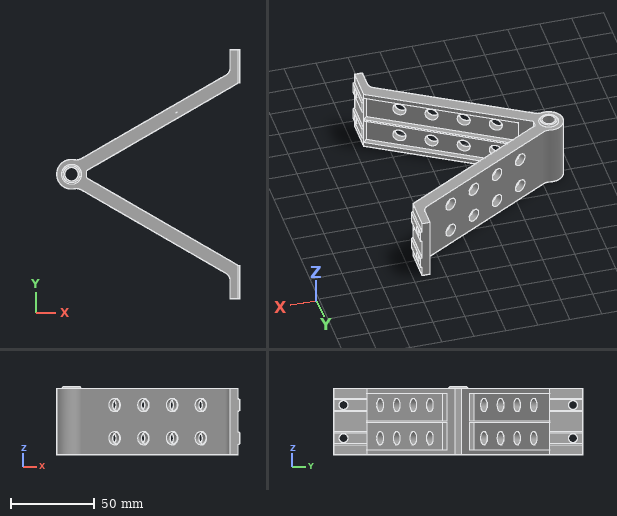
import cadquery as cq
import math

height = 40.0
hub_radius = 9.0
bore_diameter = 8.0
collar_base_diameter = 12.0
collar_top_diameter = 10.2
collar_height = 1.0

arm_angle = 30.0
arm_outer_offset = 5.3
arm_thickness = 8.0
hub_blend_radius = 6.0

flange_back = 100.4
flange_thickness = 5.0
flange_end = 75.1
bend_radius = 5.0
flange_hole_diameter = 5.3
flange_hole_y = 69.1

row_spacing = 20.0
rows = [height / 2 - row_spacing / 2, height / 2 + row_spacing / 2]
arm_hole_diameter = 8.0
arm_hole_count = 4
arm_hole_pitch = 20.0
first_hole_front = 33.0
first_hole_rear = 29.9

groove_depth = 3.3
rim_thickness = 3.0
rail_thickness = 1.0
groove_width = (height - rail_thickness) / 2 - rim_thickness
groove_bottoms = [rim_thickness, (height + rail_thickness) / 2]
groove_end_angle = 45.0
groove_start = 18.0

strip_height = 1.0
strip_width = 8.0
strip_taper = 0.8

slope = math.tan(math.radians(arm_angle))
cosine = math.cos(math.radians(arm_angle))
arm_inner_offset = arm_outer_offset - arm_thickness


def face_y(offset, x):
    """Y of an arm face at x, for the face's distance from the hub axis."""
    return offset / cosine + slope * x


def arm_plane(offset):
    """Plane on the +Y arm: x along the arm, y up, z into the V."""
    angle = math.radians(arm_angle)
    normal = (math.sin(angle), -math.cos(angle), 0)
    origin = (-offset * normal[0], -offset * normal[1], 0)
    return cq.Plane(origin=origin, xDir=(math.cos(angle), math.sin(angle), 0), normal=normal)


def make_arm():
    """Bent bar on the +Y side, from the hub to the end of its flange."""
    flange_front = flange_back - flange_thickness
    outline = [
        (0, 0),
        (hub_radius, 0),
        (hub_radius, face_y(arm_inner_offset, hub_radius)),
        (flange_back, face_y(arm_inner_offset, flange_back)),
        (flange_back, flange_end),
        (flange_front, flange_end),
        (flange_front, face_y(arm_outer_offset, flange_front)),
        (0, face_y(arm_outer_offset, 0)),
    ]
    bar = cq.Workplane("XY").polyline(outline).close().extrude(height)
    inside_bend = cq.selectors.NearestToPointSelector(
        (flange_front, face_y(arm_outer_offset, flange_front), height / 2)
    )
    return bar.edges(inside_bend).fillet(bend_radius)


def make_hub_blend():
    """Concave filler between the barrel and the outer face of the +Y arm."""
    reach = hub_radius + hub_blend_radius
    swing = math.acos((arm_outer_offset + hub_blend_radius) / reach)
    direction = math.radians(90 + arm_angle) - swing
    centre = (reach * math.cos(direction), reach * math.sin(direction))
    angle = math.radians(arm_angle)
    arm_touch = (
        centre[0] + hub_blend_radius * math.sin(angle),
        centre[1] - hub_blend_radius * math.cos(angle),
    )
    hub_touch = (hub_radius * math.cos(direction), hub_radius * math.sin(direction))
    filler = cq.Workplane("XY").polyline([(0, 0), arm_touch, centre, hub_touch]).close().extrude(height)
    return filler.cut(cq.Workplane("XY").center(*centre).circle(hub_blend_radius).extrude(height))


def make_strip(z):
    """Raised strip with sloping long sides."""
    inner_y = face_y(arm_inner_offset, flange_back)
    length = flange_end - inner_y
    half = strip_width / 2
    tip = half - strip_taper
    profile = [
        (flange_back, z - half),
        (flange_back + strip_height, z - tip),
        (flange_back + strip_height, z + tip),
        (flange_back, z + half),
    ]
    return cq.Workplane("XZ", origin=(0, inner_y, 0)).polyline(profile).close().extrude(-length)


def make_groove(bottom):
    """Cutter for one groove, ending in a slanted wall at the arm's inner corner."""
    slant = math.radians(groove_end_angle)
    wall_length = groove_depth / math.sin(slant + math.radians(arm_angle))
    start = arm_plane(arm_inner_offset).toWorldCoords((groove_start, 0, 0))
    floor_start = arm_plane(arm_inner_offset + groove_depth).toWorldCoords((groove_start, 0, 0))
    end_y = face_y(arm_inner_offset, flange_back)
    outline = [
        (start.x, start.y),
        (flange_back, end_y),
        (flange_back - wall_length * math.cos(slant), end_y + wall_length * math.sin(slant)),
        (floor_start.x, floor_start.y),
    ]
    base = cq.Workplane("XY", origin=(0, 0, bottom))
    return base.polyline(outline).close().extrude(groove_width)


def cut_arm_features(arm, first_hole_distance):
    """Cut the grooves, the arm holes and the flange holes."""
    outer_plane = arm_plane(arm_outer_offset)
    hole_distances = [first_hole_distance + i * arm_hole_pitch for i in range(arm_hole_count)]
    for z in groove_bottoms:
        arm = arm.cut(make_groove(z))
    arm = arm.cut(
        cq.Workplane(outer_plane)
        .pushPoints([(s, z) for s in hole_distances for z in rows])
        .circle(arm_hole_diameter / 2)
        .extrude(arm_thickness)
    )
    return arm.cut(
        cq.Workplane("YZ", origin=(flange_back - flange_thickness, 0, 0))
        .pushPoints([(flange_hole_y, z) for z in rows])
        .circle(flange_hole_diameter / 2)
        .extrude(flange_thickness + strip_height)
    )


arm = make_arm().union(make_hub_blend())
for row in rows:
    arm = arm.union(make_strip(row))
front_arm = cut_arm_features(arm, first_hole_front).mirror("XZ")
rear_arm = cut_arm_features(arm, first_hole_rear)

barrel = cq.Workplane("XY").circle(hub_radius).extrude(height)
collar = (
    cq.Workplane("XY", origin=(0, 0, height))
    .circle(collar_base_diameter / 2)
    .workplane(offset=collar_height)
    .circle(collar_top_diameter / 2)
    .loft()
)
bore = cq.Workplane("XY").circle(bore_diameter / 2).extrude(height + collar_height)

result = barrel.union(front_arm).union(rear_arm).union(collar).cut(bore)